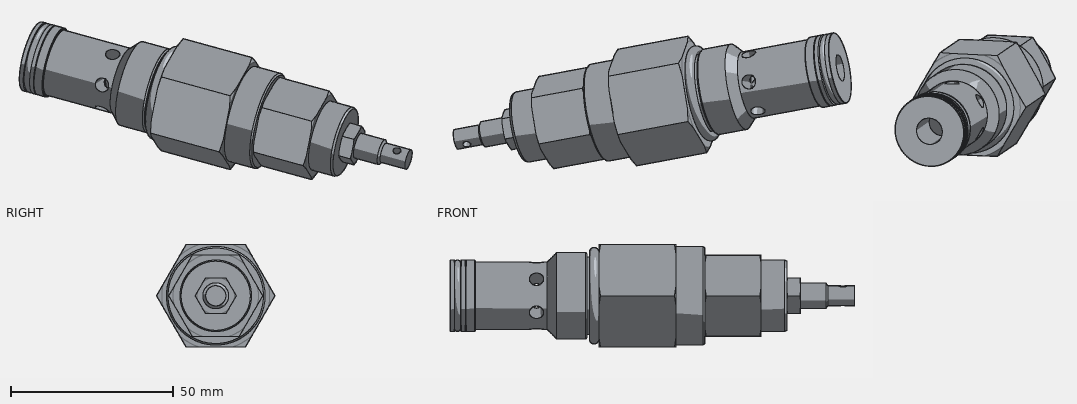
import cadquery as cq
import math

total_length = 124.9

sleeve_end = 30.0
body_shoulder_start = 33.0
body_shoulder_end = 42.3
body_hex_start = 46.0
body_hex_end = 69.8
body_end = 78.7
cap_hex_end = 96.1
cap_end = 104.0
nut_end = 108.2

nose_diameter = 22.1
nose_tip_chamfer = 0.1
nose_length = 7.9
nose_chamfer = 0.2
sleeve_diameter = 20.9
bore_diameter = 8.2
bore_depth = 22.5
port_diameter = 4.4
port_count = 6
port_place = 26.7
seal_groove_start = 1.4
seal_groove_end = 5.0
seal_groove_diameter = 18.2

backup_ring_width = 1.2
backup_ring_gap = 0.2
main_seal_diameter = 29.9

shoulder_diameter = 26.9
shoulder_chamfer = 0.5
neck_diameter = 24.0
body_hex_flats = 31.7
collar_diameter = 30.5
collar_chamfer = 0.5

poppet_cone_length = 2.5
poppet_length = 10

cap_hex_flats = 25.1
cap_diameter = 22.1
cap_chamfer_length = 0.7
cap_chamfer_depth = 0.4
nut_flats = 11.0

corner_circle_ratio = 1.05
corner_chamfer_angle = 18

screw_diameter = 8.0
screw_tip_diameter = 6.2
screw_taper_start = 116.0
screw_taper_end = 116.7
pin_hole_diameter = 2.4
pin_hole_place = 121.3
pin_hole_tilt = 10


def cylinder(start, end, diameter):
    return cq.Workplane("YZ", origin=(start, 0, 0)).circle(diameter / 2).extrude(end - start)


def turned(points):
    """Solid of revolution about the X axis from (x, radius) points."""
    return cq.Workplane("XY").polyline(points).close().revolve(360, (0, 0, 0), (1, 0, 0))


def hexagon(start, end, flats):
    """Hexagonal prism along X with flats at top and bottom and its corners chamfered at both ends."""
    corners = flats / math.cos(math.pi / 6)
    prism = cq.Workplane("YZ", origin=(start, 0, 0)).polygon(6, corners).extrude(end - start)
    end_radius = flats * corner_circle_ratio / 2
    corner_radius = corners / 2
    chamfer = (corner_radius - end_radius) * math.tan(math.radians(corner_chamfer_angle))
    envelope = turned([
        (start, 0),
        (start, end_radius),
        (start + chamfer, corner_radius),
        (end - chamfer, corner_radius),
        (end, end_radius),
        (end, 0),
    ])
    return prism.intersect(envelope)


def seal_ring(start, outer_diameter, section):
    """O-ring of round section that begins at the given X."""
    ring_radius = (outer_diameter - section) / 2
    return cq.Workplane(cq.Solid.makeTorus(
        ring_radius,
        section / 2,
        cq.Vector(start + section / 2, 0, 0),
        cq.Vector(1, 0, 0),
    ))


def make_sleeve():
    """Nose and ported tube with a seal groove and a blind bore."""
    nose_radius = nose_diameter / 2
    groove_radius = seal_groove_diameter / 2
    sleeve_radius = sleeve_diameter / 2
    sleeve = turned([
        (0, 0),
        (0, nose_radius - nose_tip_chamfer),
        (nose_tip_chamfer, nose_radius),
        (seal_groove_start, nose_radius),
        (seal_groove_start, groove_radius),
        (seal_groove_end, groove_radius),
        (seal_groove_end, nose_radius),
        (nose_length - nose_chamfer, nose_radius),
        (nose_length, nose_radius - nose_chamfer),
        (nose_length, sleeve_radius),
        (sleeve_end, sleeve_radius),
        (sleeve_end, 0),
    ])
    sleeve = sleeve.cut(cylinder(0, bore_depth, bore_diameter))
    for index in range(port_count):
        port = (
            cq.Workplane("XY", origin=(port_place, 0, 0))
            .circle(port_diameter / 2)
            .extrude(sleeve_diameter)
            .rotate((0, 0, 0), (1, 0, 0), index * 360 / port_count)
        )
        sleeve = sleeve.cut(port)
    return sleeve


def make_nose_seal():
    section = (nose_diameter - seal_groove_diameter) / 2
    return seal_ring(seal_groove_start, nose_diameter, section)


def make_backup_ring():
    end = seal_groove_end - backup_ring_gap
    start = end - backup_ring_width
    return cylinder(start, end, nose_diameter).cut(cylinder(start, end, seal_groove_diameter))


def make_main_seal():
    section = (main_seal_diameter - neck_diameter) / 2
    return seal_ring(body_hex_start - section, main_seal_diameter, section)


def make_poppet():
    """Plunger with a conical point, seated on the bottom of the bore."""
    radius = bore_diameter / 2
    point = bore_depth - poppet_length
    return turned([
        (point, 0),
        (point + poppet_cone_length, radius),
        (bore_depth, radius),
        (bore_depth, 0),
    ])


def make_body():
    """Lead-in cone, shoulder, seal neck, large hexagon and collar."""
    shoulder_radius = shoulder_diameter / 2
    front = turned([
        (sleeve_end, 0),
        (sleeve_end, sleeve_diameter / 2),
        (body_shoulder_start, shoulder_radius),
        (body_shoulder_end - shoulder_chamfer, shoulder_radius),
        (body_shoulder_end, shoulder_radius - shoulder_chamfer),
        (body_shoulder_end, neck_diameter / 2),
        (body_hex_start, neck_diameter / 2),
        (body_hex_start, 0),
    ])
    collar = cylinder(body_hex_end, body_end, collar_diameter).faces(">X").chamfer(collar_chamfer)
    return front.union(hexagon(body_hex_start, body_hex_end, body_hex_flats)).union(collar)


def make_cap():
    """Hexagonal cap with a round boss and a hole for the screw."""
    boss = (
        cylinder(cap_hex_end, cap_end, cap_diameter)
        .faces(">X")
        .chamfer(cap_chamfer_length, cap_chamfer_depth)
    )
    cap = hexagon(body_end, cap_hex_end, cap_hex_flats).union(boss)
    return cap.cut(cylinder(body_end, cap_end, screw_diameter))


def make_nut():
    return hexagon(cap_end, nut_end, nut_flats).cut(cylinder(cap_end, nut_end, screw_diameter))


def make_screw():
    """Stepped screw with a tilted cross hole near its end."""
    screw_radius = screw_diameter / 2
    tip_radius = screw_tip_diameter / 2
    screw = turned([
        (body_end, 0),
        (body_end, screw_radius),
        (screw_taper_start, screw_radius),
        (screw_taper_end, tip_radius),
        (total_length, tip_radius),
        (total_length, 0),
    ])
    pin_hole = (
        cq.Workplane("XY", origin=(pin_hole_place, 0, 0))
        .circle(pin_hole_diameter / 2)
        .extrude(screw_diameter, both=True)
        .rotate((0, 0, 0), (1, 0, 0), pin_hole_tilt)
    )
    return screw.cut(pin_hole)


result = cq.Compound.makeCompound([
    make_sleeve().val(),
    make_nose_seal().val(),
    make_backup_ring().val(),
    make_poppet().val(),
    make_body().val(),
    make_main_seal().val(),
    make_cap().val(),
    make_nut().val(),
    make_screw().val(),
])